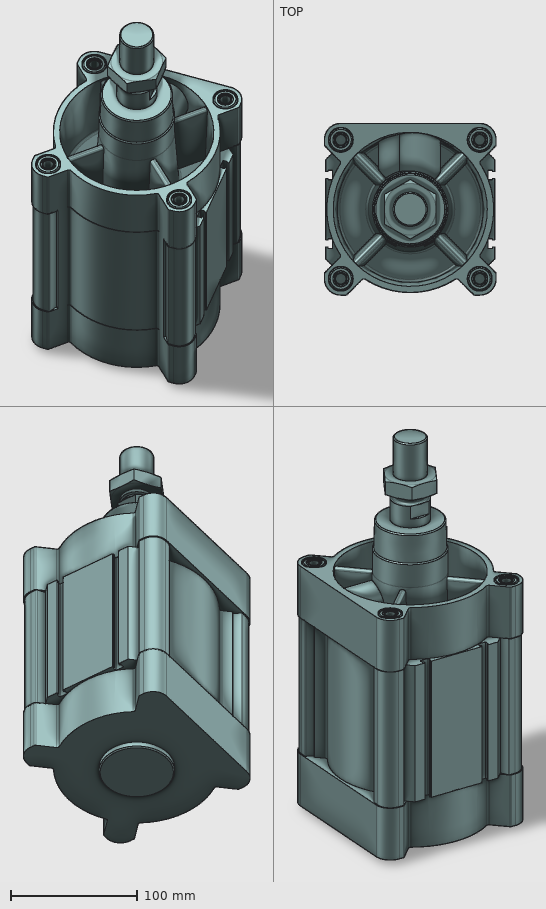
import cadquery as cq
import math

overall_length = 335.0
tail_height = 5.5
cap_height = 45.5
tube_height = 120.0
tube_bottom = tail_height + cap_height
front_cap_bottom = tube_bottom + tube_height
front_cap_top = front_cap_bottom + cap_height

cap_width = 136.0
tube_width = 134.0
cap_barrel_radius = 66.0
tube_barrel_radius = 65.5
bolt_spacing = 110.0
lug_width = 24.8
lug_angles = (45, 135)
lug_edge_fillet = 1.7
lug_root_fillet = 2.0
tube_edge_fillet = 1.0

groove_bottom = 60.3
groove_offset = 46.0
groove_mouth_offset = 49.5
groove_overrun = 3.5

slot_center = 27.0
slot_mouth_width = 5.5
slot_inner_width = 7.5
slot_lip = 2.0
slot_depth = 5.5
slot_mouth_chamfer = 0.7

recess_depth = 57.0
recess_radius = 61.0
draft_run = 3.5
floor_fillet = 2.0
rib_drop = 2.0
rib_top_width = 5.0
rib_edge_fillet = 2.5

passage_diameter = 32.0
high_passage_x = 7.7
high_passage_z = 195.0
low_passage_x = -9.0
low_passage_z = 180.2

collar_diameter = 60.0
collar_top = 237.5
collar_chamfer = 1.0
sleeve_base_diameter = 58.0
sleeve_top_diameter = 56.5
sleeve_top = 262.3

bolt_gap_outer_diameter = 19.8
bolt_head_diameter = 18.8
bolt_head_top_diameter = 16.8
bolt_gap_depth = 1.7
bolt_head_chamfer_height = 1.0
socket_mouth_diameter = 12.7
socket_ledge_outer_diameter = 12.0
socket_ledge_depth = 0.5
socket_cone_height = 0.5
socket_ledge_inner_diameter = 10.0
socket_bore_diameter = 8.5
socket_depth = 13.5

rod_diameter = 32.0
rod_bottom = front_cap_bottom
rod_shoulder = 281.0
flat_width = 27.0
flat_height = 11.0
thread_diameter = 27.0
thread_bottom = 286.0
undercut_diameter = 24.8
undercut_fillet = 2.0
tip_chamfer = 1.0

nut_across_flats = 41.0
nut_bottom = 289.0
nut_height = 13.0
nut_chamfer_angle = 15.0


def revolve_profile(points):
    """Solid of revolution about Z from (radius, height) points."""
    return cq.Workplane("XZ").polyline(points).close().revolve(360, (0, 0, 0), (0, 1, 0))


def lugged_prism(width, barrel_radius, height):
    """Round barrel with four diagonal lugs filleted at their roots, standing on the XY plane."""
    corner_radius = (width - bolt_spacing) / 2
    rounded_square = cq.Workplane("XY").rect(width, width).extrude(height).edges("|Z").fillet(corner_radius)
    diagonal_bars = cq.Workplane("XY")
    for angle in lug_angles:
        bar = cq.Workplane("XY").rect(2 * width, lug_width).extrude(height)
        diagonal_bars = diagonal_bars.union(bar.rotate((0, 0, 0), (0, 0, 1), angle))
    lugs = diagonal_bars.intersect(rounded_square)
    prism = cq.Workplane("XY").circle(barrel_radius).extrude(height).union(lugs)
    root_middle = math.sqrt((barrel_radius**2 - (lug_width / 2) ** 2) / 2)
    root_shift = lug_width / math.sqrt(8)
    return lug_edges(prism, root_middle - root_shift, root_middle + root_shift).fillet(lug_root_fillet)


def lug_edges(solid, across, along):
    """Upright edges at the eight places (+-across, +-along) and (+-along, +-across)."""
    tolerance = 0.5

    def is_lug_edge(edge):
        center = edge.Center()
        low, high = sorted((abs(center.x), abs(center.y)))
        return abs(low - across) < tolerance and abs(high - along) < tolerance

    return solid.edges("|Z").filter(is_lug_edge)


def make_cap():
    """End cap: lugged outline, filled out to a straight edge on the +Y side."""
    cap = lugged_prism(cap_width, cap_barrel_radius, cap_height)
    lug_shift = lug_width / math.sqrt(2)
    edge_along = cap_width / 2
    cap = lug_edges(cap, edge_along - lug_shift, edge_along).fillet(lug_edge_fillet)
    filler = cq.Workplane("XY").rect(bolt_spacing, edge_along).extrude(cap_height)
    return cap.union(filler.translate((0, edge_along / 2, 0)))


def groove_cutter(swap, x_sign, y_sign):
    """Triangular groove between a lug and the face beside it."""
    outside = tube_width / 2 + groove_overrun
    rise = outside - groove_bottom
    mouth_slope = (groove_mouth_offset - groove_offset) / (tube_width / 2 - groove_bottom)
    corners = [
        (groove_bottom, groove_offset),
        (outside, groove_offset - rise),
        (outside, groove_offset + rise * mouth_slope),
    ]
    points = [(b, a) if swap else (a, b) for a, b in corners]
    placed = [(x_sign * x, y_sign * y) for x, y in points]
    return cq.Workplane("XY").polyline(placed).close().extrude(tube_height)


def slot_cutter(x_sign, y_sign):
    """T-shaped sensor slot, its mouth chamfered on the side toward the middle of the face."""
    half_mouth = slot_mouth_width / 2
    half_inner = slot_inner_width / 2
    depths_and_offsets = [
        (0, half_mouth),
        (slot_lip, half_mouth),
        (slot_lip, half_inner),
        (slot_depth, half_inner),
        (slot_depth, -half_inner),
        (slot_lip, -half_inner),
        (slot_lip, -half_mouth),
        (slot_mouth_chamfer, -half_mouth),
        (0, -half_mouth - slot_mouth_chamfer),
    ]
    face = tube_width / 2
    outline = [(x_sign * (face - depth), y_sign * (slot_center + offset)) for depth, offset in depths_and_offsets]
    return cq.Workplane("XY").polyline(outline).close().extrude(tube_height)


def make_tube():
    """Profile tube with side plates, lug grooves and sensor slots."""
    tube = lugged_prism(tube_width, tube_barrel_radius, tube_height)
    tube = tube.union(cq.Workplane("XY").rect(tube_width, 2 * groove_offset).extrude(tube_height))
    for x_sign in (-1, 1):
        for y_sign in (-1, 1):
            for swap in (False, True):
                tube = tube.cut(groove_cutter(swap, x_sign, y_sign))
            tube = tube.cut(slot_cutter(x_sign, y_sign))
    edge_along = tube_width / 2
    edge_across = edge_along - lug_width / math.sqrt(2)
    return lug_edges(tube, edge_across, edge_along).fillet(tube_edge_fillet)


def make_rib(angle):
    """Drafted rib through the axis with rounded top edges."""
    rib_height = recess_depth - rib_drop
    half_top = rib_top_width / 2
    half_base = half_top + draft_run * rib_height / recess_depth
    section = [(-half_base, 0), (half_base, 0), (half_top, rib_height), (-half_top, rib_height)]
    rib = cq.Workplane("XZ").polyline(section).close().extrude(recess_radius, both=True)
    rib = rib.faces(">Z").edges("|Y").fillet(rib_edge_fillet)
    return rib.translate((0, 0, front_cap_top - recess_depth)).rotate((0, 0, 0), (0, 0, 1), angle)


def make_passage(x, z):
    """Round air passage wall running from the axis toward +Y."""
    cylinder = cq.Workplane("XZ").circle(passage_diameter / 2).extrude(-recess_radius)
    return cylinder.translate((x, 0, z))


def make_recess():
    """Ring-shaped hollow of the front cap, leaving the ribs and passages standing."""
    floor = front_cap_top - recess_depth
    collar_radius = collar_diameter / 2
    recess = revolve_profile([
        (collar_radius, front_cap_top),
        (collar_radius + draft_run, floor),
        (recess_radius - draft_run, floor),
        (recess_radius, front_cap_top),
    ])
    recess = recess.faces("<Z").edges().fillet(floor_fillet)
    for angle in lug_angles:
        recess = recess.cut(make_rib(angle))
    recess = recess.cut(make_passage(high_passage_x, high_passage_z))
    return recess.cut(make_passage(low_passage_x, low_passage_z))


def make_neck():
    """Collar and slightly tapered sleeve around the rod."""
    collar_radius = collar_diameter / 2
    return revolve_profile([
        (0, front_cap_top),
        (collar_radius, front_cap_top),
        (collar_radius, collar_top - collar_chamfer),
        (sleeve_base_diameter / 2, collar_top),
        (sleeve_top_diameter / 2, sleeve_top - collar_chamfer),
        (sleeve_top_diameter / 2 - collar_chamfer, sleeve_top),
        (0, sleeve_top),
    ])


def make_bolt_recess():
    """Ring gap around one bolt head together with the stepped socket in its middle."""
    gap = revolve_profile([
        (bolt_head_top_diameter / 2, 0),
        (bolt_gap_outer_diameter / 2, 0),
        (bolt_gap_outer_diameter / 2, -bolt_gap_depth),
        (bolt_head_diameter / 2, -bolt_gap_depth),
        (bolt_head_diameter / 2, -bolt_head_chamfer_height),
    ])
    socket = revolve_profile([
        (0, 0),
        (socket_mouth_diameter / 2, 0),
        (socket_ledge_outer_diameter / 2, -socket_ledge_depth),
        (socket_ledge_inner_diameter / 2, -socket_ledge_depth),
        (socket_bore_diameter / 2, -socket_ledge_depth - socket_cone_height),
        (socket_bore_diameter / 2, -socket_depth),
        (0, -socket_depth),
    ])
    return gap.union(socket).translate((0, 0, front_cap_top))


def make_housing():
    """Tail collar, rear cap, tube, front cap and neck as one body."""
    cap = make_cap()
    tail = cq.Workplane("XY").circle(collar_diameter / 2).extrude(tail_height)
    housing = tail.faces("<Z").chamfer(collar_chamfer)
    housing = housing.union(cap.translate((0, 0, tail_height)))
    housing = housing.union(make_tube().translate((0, 0, tube_bottom)))
    housing = housing.union(cap.translate((0, 0, front_cap_bottom))).cut(make_recess())
    bolt_recess = make_bolt_recess()
    for x_sign in (-1, 1):
        for y_sign in (-1, 1):
            place = (x_sign * bolt_spacing / 2, y_sign * bolt_spacing / 2, 0)
            housing = housing.cut(bolt_recess.translate(place))
    housing = housing.union(make_neck())
    rod_bore = cq.Workplane("XY").circle(rod_diameter / 2).extrude(sleeve_top - rod_bottom)
    return housing.cut(rod_bore.translate((0, 0, rod_bottom)))


def make_rod():
    """Piston rod with wrench flats, an undercut and a plain cylinder in place of the thread."""
    thread_radius = thread_diameter / 2
    undercut_radius = undercut_diameter / 2
    fillet_center_r = undercut_radius + undercut_fillet
    fillet_center_z = rod_shoulder + undercut_fillet
    fillet_middle = undercut_fillet / math.sqrt(2)
    profile = (
        cq.Workplane("XZ")
        .moveTo(0, rod_bottom)
        .lineTo(rod_diameter / 2, rod_bottom)
        .lineTo(rod_diameter / 2, rod_shoulder)
        .lineTo(fillet_center_r, rod_shoulder)
        .threePointArc(
            (fillet_center_r - fillet_middle, fillet_center_z - fillet_middle),
            (undercut_radius, fillet_center_z),
        )
        .lineTo(undercut_radius, thread_bottom - (thread_radius - undercut_radius))
        .lineTo(thread_radius, thread_bottom)
        .lineTo(thread_radius, overall_length - tip_chamfer)
        .lineTo(thread_radius - tip_chamfer, overall_length)
        .lineTo(0, overall_length)
        .close()
    )
    rod = profile.revolve(360, (0, 0, 0), (0, 1, 0))
    for x_sign in (-1, 1):
        flat = cq.Workplane("XY").box(rod_diameter, rod_diameter, flat_height)
        flat_x = x_sign * (flat_width + rod_diameter) / 2
        rod = rod.cut(flat.translate((flat_x, 0, rod_shoulder - flat_height / 2)))
    return rod


def make_nut():
    """Hexagon lock nut with corners chamfered at both ends."""
    corner_radius = nut_across_flats / math.sqrt(3)
    flat_radius = nut_across_flats / 2
    chamfer_height = (corner_radius - flat_radius) * math.tan(math.radians(nut_chamfer_angle))
    hexagon = cq.Workplane("XY").polygon(6, 2 * corner_radius).extrude(nut_height)
    hexagon = hexagon.rotate((0, 0, 0), (0, 0, 1), 30)
    envelope = revolve_profile([
        (0, 0),
        (flat_radius, 0),
        (corner_radius, chamfer_height),
        (corner_radius, nut_height - chamfer_height),
        (flat_radius, nut_height),
        (0, nut_height),
    ])
    thread_hole = cq.Workplane("XY").circle(thread_diameter / 2).extrude(nut_height)
    return hexagon.intersect(envelope).cut(thread_hole).translate((0, 0, nut_bottom))


housing = make_housing()
rod = make_rod()
nut = make_nut()

result = cq.Compound.makeCompound([housing.val(), rod.val(), nut.val()])